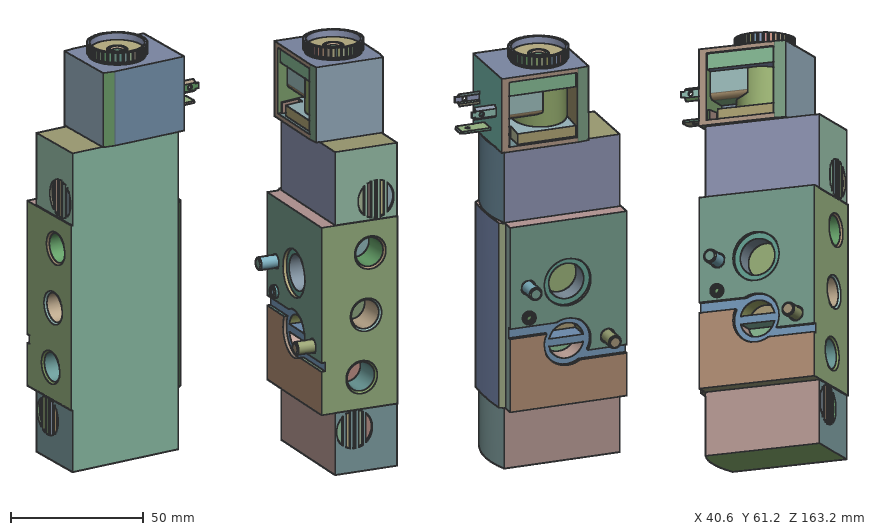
import cadquery as cq
import math


overall_height = 163.2
block_right = 31.8
port_block_bottom = 24.8
port_block_top = 99.2
shoulder_y = 47.3
shoulder_width = 4.5
crown_slope_width = 1.8
crown_start_y = 49.5
port_block_back = 50.1

pilot_left = 5.9
pilot_front = 0.5
pilot_back = 49.6
pilot_top = 128.2

axis_x = 18.6
axis_y = 28.4
tube_dia = 8.0
tube_top = 160.7
tube_chamfer = 0.4
tube_hole_dia = 4.0
tube_hole_depth = 8.2
tube_hole_chamfer = 0.73
drill_half_angle = math.radians(59)

front_port_dia = 11.5
front_port_mouth_dia = 13.0
front_port_depth = 13.0
front_port_pitch = 24.5
front_port_shift = 1.8
middle_port_x = 18.6
middle_port_z = (port_block_bottom + port_block_top) / 2

interface_pitch = 24.0
interface_y = 24.0
interface_depth = 1.5
interface_port_dia = 14.2
interface_recess_dia = 19.0
interface_port_depth = 9.3
upper_port_z = middle_port_z + interface_pitch / 2
lower_port_z = middle_port_z - interface_pitch / 2
bridge_height = 3.1
back_groove_z = 56.3
back_groove_height = 4.0
front_groove_z = 43.7
front_groove_height = 3.5

fastener_dia = 5.0
fastener_chamfer = 0.5
fastener_depth = 13.0
mouth_dia = 5.7
mouth_depth = 0.8
screw_length_out = 7.5
back_fastener_y = 39.8
front_fastener_y = 7.7
screw_places = [(back_fastener_y, upper_port_z), (front_fastener_y, lower_port_z)]
set_screw_length_out = 1.6
set_screw_socket_dia = 2.5
set_screw_socket_depth = 1.6
set_screw_socket_chamfer = 0.4

vent_dia = 15.0
vent_depth = 1.0
vent_rib_width = 1.22
vent_slot_width = 1.71
vent_middle_slot_width = 1.22
upper_vent = (23.0, 107.2)
lower_vent = (14.0, 17.0)

coil_left = 3.9
coil_right = 33.1
coil_front = 13.7
coil_back = 49.1
coil_top = 158.1
coil_taper_length = 4.5
coil_left_taper = 0.57
coil_right_taper = 0.8
collar_dia = 21.5
collar_height = 0.5

window_front = 18.6
window_back = 46.2
window_bottom = 130.2
window_top = 156.3
window_fillet = 0.7
window_depth = axis_x - coil_left
winding_dia = 21.5
top_flange_recess = 1.1
top_flange_bottom = 150.3
bottom_flange_recess = 1.5
bottom_flange_top = 134.5
flange_taper_height = 1.1
terminal_block_recess = 3.9
terminal_block_front = 30.8
terminal_block_bottom = 139.3
terminal_block_fillet = 2.3
lead_slot_front = 42.1
lead_slot_back = 45.4
lead_slot_depth = 8.3

blade_root = 3.3
ground_blade_width = 6.4
ground_blade_thickness = 0.9
ground_blade_bottom = 133.5
ground_blade_tip = 61.2
ground_blade_bevel = 0.8
ground_hole_dia = 1.6
ground_hole_y = 57.1
side_blade_offset = 9.1
side_blade_thickness = 0.8
side_blade_z = 142.8
web_height = 3.0
lip_height = 5.0
lip_reach = 1.55
side_blade_end = 57.5
side_blade_tip = 58.9
side_tip_height = 2.1
side_hole_dia = 1.8
side_hole_y = 55.0

nut_dia = 23.0
nut_bottom = 159.4
nut_recess_dia = 20.7
nut_recess_floor = 160.4
hub_dia = 10.0
knurl_count = 36
knurl_depth = 0.3
knurl_width = 0.7


def box(x0, x1, y0, y1, z0, z1):
    """Box between two opposite corners."""
    return cq.Workplane("XY").box(x1 - x0, y1 - y0, z1 - z0, centered=False).translate((x0, y0, z0))


def along_x(dia, x0, x1, y, z):
    """Cylinder parallel to X."""
    return cq.Workplane("YZ", origin=(x0, y, z)).circle(dia / 2).extrude(x1 - x0)


def along_z(dia, z0, z1):
    """Cylinder on the coil axis."""
    return cq.Workplane("XY", origin=(axis_x, axis_y, z0)).circle(dia / 2).extrude(z1 - z0)


def port_block():
    """Main block with a shoulder and a slightly crowned back."""
    middle_x = (shoulder_width + block_right) / 2
    return (
        cq.Workplane("XY", origin=(0, 0, port_block_bottom))
        .lineTo(block_right, 0)
        .lineTo(block_right, shoulder_y)
        .lineTo(block_right - crown_slope_width, crown_start_y)
        .threePointArc((middle_x, port_block_back), (shoulder_width + crown_slope_width, crown_start_y))
        .lineTo(shoulder_width, shoulder_y)
        .lineTo(0, shoulder_y)
        .close()
        .extrude(port_block_top - port_block_bottom)
    )


def pilot_column():
    """Pilot blocks above and below the port block, with a rounded back."""
    middle_x = (pilot_left + block_right) / 2
    return (
        cq.Workplane("XY")
        .moveTo(pilot_left, pilot_front)
        .lineTo(block_right, pilot_front)
        .lineTo(block_right, shoulder_y)
        .threePointArc((middle_x, pilot_back), (pilot_left, shoulder_y))
        .close()
        .extrude(pilot_top)
    )


def coil_tube():
    """Tube that carries the coil, with a chamfered blind hole in its end."""
    hole_radius = tube_hole_dia / 2
    mouth_radius = hole_radius + tube_hole_chamfer
    hole_bottom = tube_top - tube_hole_depth
    hole = (
        cq.Workplane("XZ")
        .moveTo(0, tube_top)
        .lineTo(mouth_radius, tube_top)
        .lineTo(hole_radius, tube_top - tube_hole_chamfer)
        .lineTo(hole_radius, hole_bottom)
        .lineTo(0, hole_bottom - hole_radius / math.tan(drill_half_angle))
        .close()
        .revolve(360, (0, 0, 0), (0, 1, 0))
        .translate((axis_x, axis_y, 0))
    )
    return along_z(tube_dia, pilot_top, tube_top).faces(">Z").chamfer(tube_chamfer).cut(hole)


def front_port(x, z):
    """Port bore with a countersunk mouth, opening at the front face."""
    radius = front_port_dia / 2
    mouth_radius = front_port_mouth_dia / 2
    return (
        cq.Workplane("XY")
        .lineTo(mouth_radius, 0)
        .lineTo(radius, mouth_radius - radius)
        .lineTo(radius, front_port_depth)
        .lineTo(0, front_port_depth)
        .close()
        .revolve(360, (0, 0, 0), (0, 1, 0))
        .translate((x, 0, z))
    )


def interface_recesses():
    """Ports, seal recesses and grooves sunk into the mounting face."""
    cuts = box(
        0, interface_depth, interface_y, port_block_back,
        back_groove_z - back_groove_height / 2, back_groove_z + back_groove_height / 2,
    )
    cuts = cuts.union(box(
        0, interface_depth, 0, interface_y,
        front_groove_z - front_groove_height / 2, front_groove_z + front_groove_height / 2,
    ))
    for z in (upper_port_z, lower_port_z):
        cuts = cuts.union(along_x(interface_recess_dia, 0, interface_depth, interface_y, z))
    cuts = cuts.union(
        along_x(interface_port_dia, 0, interface_port_depth, interface_y, upper_port_z)
    )
    bridge = box(
        interface_depth, interface_port_depth, 0, port_block_back,
        lower_port_z - bridge_height / 2, lower_port_z + bridge_height / 2,
    )
    lower_port = along_x(
        interface_port_dia, interface_depth, interface_port_depth, interface_y, lower_port_z
    )
    return cuts.union(lower_port.cut(bridge))


def fastener_hole(y, z):
    """Blind hole in the mounting face."""
    return along_x(fastener_dia, 0, fastener_depth, y, z)


def screw_hole(y, z):
    """Fastener hole with a wider mouth."""
    return fastener_hole(y, z).union(along_x(mouth_dia, 0, mouth_depth, y, z))


def vent(x, z):
    """Round vent of five vertical slots in a pilot block's front face."""
    inner_slot_start = vent_middle_slot_width / 2 + vent_rib_width
    slots = cq.Workplane("XZ", origin=(x, pilot_front, z)).circle(vent_dia / 2).extrude(-vent_depth)
    for side in (-1, 1):
        for inner_edge in (vent_middle_slot_width / 2, inner_slot_start + vent_slot_width):
            rib_x = x + side * (inner_edge + vent_rib_width / 2)
            slots = slots.cut(box(
                rib_x - vent_rib_width / 2, rib_x + vent_rib_width / 2,
                pilot_front, pilot_front + vent_depth,
                z - vent_dia, z + vent_dia,
            ))
    return slots


def make_valve():
    """Port block, pilot blocks and coil tube as one body, with all its openings."""
    body = pilot_column().union(port_block()).union(coil_tube())
    for step in (-1, 0, 1):
        body = body.cut(front_port(
            middle_port_x + step * front_port_shift, middle_port_z + step * front_port_pitch
        ))
    body = body.cut(interface_recesses())
    for y, z in screw_places:
        body = body.cut(screw_hole(y, z))
    body = body.cut(fastener_hole(back_fastener_y, middle_port_z))
    for x, z in (upper_vent, lower_vent):
        body = body.cut(vent(x, z))
    return body


def make_fastener(length_out, y, z):
    """Plain shank with a chamfered free end."""
    return along_x(fastener_dia, -length_out, fastener_depth, y, z).faces("<X").chamfer(fastener_chamfer)


def make_set_screw():
    """Short fastener with a chamfered round socket in its free end."""
    radius = set_screw_socket_dia / 2
    mouth_radius = radius + set_screw_socket_chamfer
    socket = (
        cq.Workplane("XY")
        .lineTo(0, mouth_radius)
        .lineTo(set_screw_socket_chamfer, radius)
        .lineTo(set_screw_socket_depth, radius)
        .lineTo(set_screw_socket_depth, 0)
        .close()
        .revolve(360, (0, 0, 0), (1, 0, 0))
        .translate((-set_screw_length_out, back_fastener_y, middle_port_z))
    )
    return make_fastener(set_screw_length_out, back_fastener_y, middle_port_z).cut(socket)


def coil_shell():
    """Coil case whose sides taper inwards near the front."""
    taper_start = coil_front + coil_taper_length
    return (
        cq.Workplane("XY", origin=(0, 0, pilot_top))
        .moveTo(coil_left, coil_back)
        .lineTo(coil_left, taper_start)
        .lineTo(coil_left + coil_left_taper, coil_front)
        .lineTo(coil_right - coil_right_taper, coil_front)
        .lineTo(coil_right, taper_start)
        .lineTo(coil_right, coil_back)
        .close()
        .extrude(coil_top - pilot_top)
    )


def flange(recess, outer_z, edge_z, floor_z):
    """Winding flange with one sloping side, from edge_z at its edge to floor_z at the window floor."""
    left = coil_left + recess
    floor_x = coil_left + window_depth
    return (
        cq.Workplane("XZ", origin=(0, window_front, 0))
        .moveTo(left, outer_z)
        .lineTo(left, edge_z)
        .lineTo(floor_x, floor_z)
        .lineTo(floor_x, outer_z)
        .close()
        .extrude(window_front - window_back)
    )


def winding_window():
    """Pocket in the left side that leaves the winding, its flanges and terminal block standing."""
    floor_x = coil_left + window_depth
    window = box(coil_left, floor_x, window_front, window_back, window_bottom, window_top)
    window = window.edges("|X and >Z").fillet(window_fillet)
    top_flange = flange(
        top_flange_recess, window_top, top_flange_bottom, top_flange_bottom - flange_taper_height
    )
    bottom_flange = flange(
        bottom_flange_recess, window_bottom, bottom_flange_top, bottom_flange_top + flange_taper_height
    )
    bottom_flange = bottom_flange.cut(box(
        coil_left, coil_left + lead_slot_depth, lead_slot_front, lead_slot_back, window_bottom, window_top
    ))
    terminal_block = box(
        coil_left + terminal_block_recess, floor_x,
        terminal_block_front, window_back, terminal_block_bottom, top_flange_bottom,
    ).edges("<X and <Z").fillet(terminal_block_fillet)
    winding = along_z(winding_dia, bottom_flange_top, top_flange_bottom)
    for kept in (top_flange, bottom_flange, terminal_block, winding):
        window = window.cut(kept)
    return window


def ground_blade():
    """Flat horizontal blade with a bevelled tip and a hole."""
    half_width = ground_blade_width / 2
    blade = box(
        axis_x - half_width, axis_x + half_width, coil_back - blade_root, ground_blade_tip,
        ground_blade_bottom, ground_blade_bottom + ground_blade_thickness,
    )
    blade = blade.edges("|Z and >Y").chamfer(ground_blade_bevel)
    blade = blade.faces(">Y").edges(">Z").chamfer(ground_blade_thickness / 2, ground_blade_bevel)
    hole = (
        cq.Workplane("XY", origin=(axis_x, ground_hole_y, ground_blade_bottom))
        .circle(ground_hole_dia / 2)
        .extrude(ground_blade_thickness)
    )
    return blade.cut(hole)


def side_blade(side):
    """Upright blade with two lips bent towards the coil axis; side is -1 or 1."""
    outer_x = axis_x + side * side_blade_offset
    web_x = outer_x - side * side_blade_thickness
    lip_x = outer_x - side * lip_reach
    half_web = web_height / 2
    half_lip = lip_height / 2
    root_y = coil_back - blade_root
    profile = [
        (outer_x, side_blade_z - half_web),
        (outer_x, side_blade_z + half_web),
        (lip_x, side_blade_z + half_lip),
        (lip_x, side_blade_z + half_web),
        (web_x, side_blade_z + half_web - side_blade_thickness / 2),
        (web_x, side_blade_z - half_web + side_blade_thickness / 2),
        (lip_x, side_blade_z - half_web),
        (lip_x, side_blade_z - half_lip),
    ]
    blade = (
        cq.Workplane("XZ", origin=(0, root_y, 0)).polyline(profile).close().extrude(root_y - side_blade_end)
    )
    tip = box(
        min(outer_x, web_x), max(outer_x, web_x), root_y, side_blade_tip,
        side_blade_z - side_tip_height / 2, side_blade_z + side_tip_height / 2,
    )
    hole = along_x(
        side_hole_dia, axis_x - side_blade_offset, axis_x + side_blade_offset, side_hole_y, side_blade_z
    )
    return blade.union(tip).cut(hole)


def make_coil():
    """Coil case with its winding, top collar and contact blades, bored for the tube."""
    coil = coil_shell().cut(winding_window())
    coil = coil.union(along_z(collar_dia, coil_top, coil_top + collar_height))
    coil = coil.union(ground_blade())
    for side in (-1, 1):
        coil = coil.union(side_blade(side))
    return coil.cut(along_z(tube_dia, pilot_top, coil_top + collar_height))


def make_nut():
    """Knurled disc with a recessed top, a hub that rests on the coil and a bore for the tube."""
    nut = along_z(nut_dia, nut_bottom, overall_height)
    groove = box(
        nut_dia / 2 - knurl_depth, nut_dia / 2 + knurl_depth, -knurl_width / 2, knurl_width / 2,
        nut_bottom, overall_height,
    )
    for index in range(knurl_count):
        turned = groove.rotate((0, 0, 0), (0, 0, 1), index * 360 / knurl_count)
        nut = nut.cut(turned.translate((axis_x, axis_y, 0)))
    nut = nut.cut(along_z(nut_recess_dia, nut_recess_floor, overall_height))
    nut = nut.union(along_z(hub_dia, coil_top + collar_height, nut_bottom))
    return nut.cut(along_z(tube_dia, coil_top, overall_height))


valve = make_valve()
screws = [make_fastener(screw_length_out, y, z) for y, z in screw_places]
set_screw = make_set_screw()
coil = make_coil()
nut = make_nut()

result = cq.Compound.makeCompound(
    [body.solids().val() for body in (valve, *screws, set_screw, coil, nut)]
)